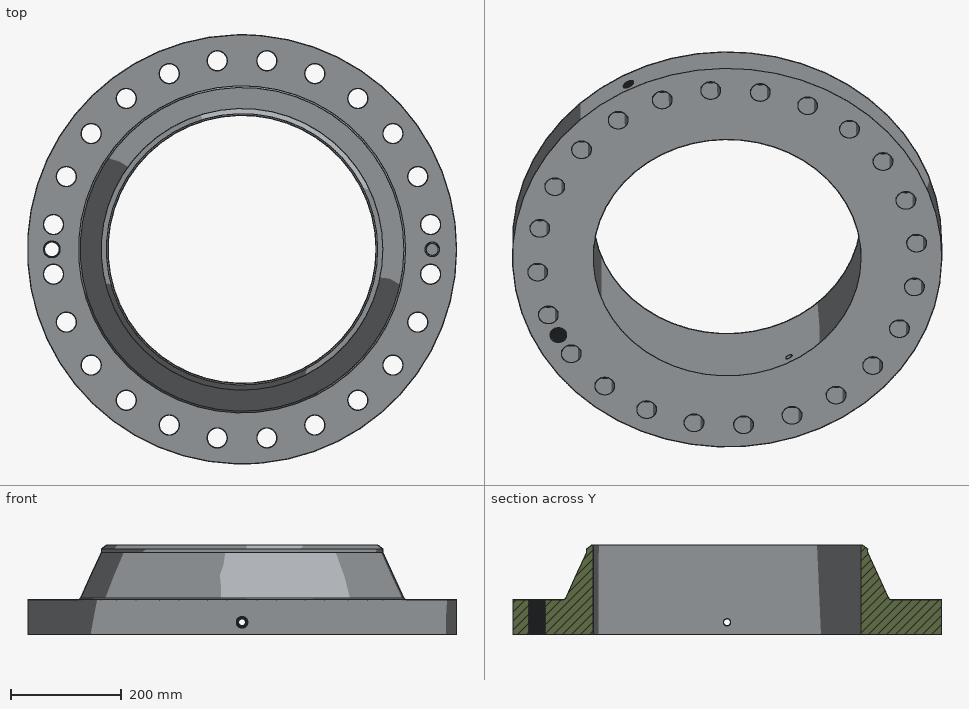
import cadquery as cq

flange_diameter = 775.0
flange_radius = flange_diameter / 2
flange_thickness = 63.5

overall_height = 162.0
bore_radius = 242.0
hub_base_radius = 295.0
hub_step_height = 2.0
hub_foot_radius = 292.0
hub_end_radius = 254.0
hub_end_height = 149.0
weld_bevel_start_height = 155.0
weld_land_radius = 245.0

bolt_circle_radius = 343.0
bolt_hole_diameter = 36.0
bolt_hole_count = 24
bolt_pitch_angle = 360 / bolt_hole_count

jack_thread_diameter = 30.0
jack_core_diameter = 26.0
jack_thread_pitch = 3.2
jack_turns = round(flange_thickness / jack_thread_pitch)

ring_outer_diameter = 26.0
ring_inner_diameter = 22.0
ring_depth = 1.0

tap_height = 22.5
tap_hole_diameter = 12.5
socket_thread_diameter = 21.0
socket_core_diameter = 18.0
socket_taper = 1 / 16
socket_pitch = 1.8
socket_turns = 12


def make_body():
    """Revolve the flange and hub profile about Z."""
    return (
        cq.Workplane("XZ")
        .moveTo(bore_radius, 0)
        .lineTo(flange_radius, 0)
        .lineTo(flange_radius, flange_thickness)
        .lineTo(hub_base_radius, flange_thickness)
        .lineTo(hub_foot_radius, flange_thickness + hub_step_height)
        .lineTo(hub_end_radius, hub_end_height)
        .lineTo(hub_end_radius, weld_bevel_start_height)
        .lineTo(weld_land_radius, overall_height)
        .lineTo(bore_radius, overall_height)
        .close()
        .revolve(360, (0, 0, 0), (0, 1, 0))
    )


def make_bolt_holes():
    return (
        cq.Workplane("XY")
        .polarArray(bolt_circle_radius, bolt_pitch_angle / 2, 360, bolt_hole_count)
        .circle(bolt_hole_diameter / 2)
        .extrude(flange_thickness)
    )


def make_threaded_plug(thread_diameter, core_diameter, pitch, turns, taper=0):
    """Solid of a threaded hole along +Z from the origin, with its turns as V-shaped rings."""
    points = [(0, 0)]
    for turn in range(turns):
        start = turn * pitch
        middle = start + pitch / 2
        points.append(((thread_diameter - taper * start) / 2, start))
        points.append(((core_diameter - taper * middle) / 2, middle))
    length = turns * pitch
    points.append(((thread_diameter - taper * length) / 2, length))
    points.append((0, length))
    return cq.Workplane("XZ").polyline(points).close().revolve(360, (0, 0, 0), (0, 1, 0))


def make_jack_hole():
    plug = make_threaded_plug(jack_thread_diameter, jack_core_diameter, jack_thread_pitch, jack_turns)
    return plug.translate((-bolt_circle_radius, 0, 0))


def make_ring_groove():
    return (
        cq.Workplane("XY", origin=(bolt_circle_radius, 0, flange_thickness))
        .circle(ring_outer_diameter / 2)
        .circle(ring_inner_diameter / 2)
        .extrude(-ring_depth)
    )


def make_tap_drilling():
    """One straight drilling across the whole flange serves both taps."""
    return (
        cq.Workplane("XZ", origin=(0, 0, tap_height))
        .circle(tap_hole_diameter / 2)
        .extrude(flange_radius, both=True)
    )


def make_tap_socket():
    """Threaded socket on the -Y side, running inward from the rim."""
    plug = make_threaded_plug(
        socket_thread_diameter, socket_core_diameter, socket_pitch, socket_turns, socket_taper
    )
    inward = plug.rotate((0, 0, 0), (1, 0, 0), -90)
    return inward.translate((0, -flange_radius, tap_height))


tap_socket = make_tap_socket()

result = (
    make_body()
    .cut(make_bolt_holes())
    .cut(make_jack_hole())
    .cut(make_ring_groove())
    .cut(make_tap_drilling())
    .cut(tap_socket)
    .cut(tap_socket.mirror("XZ"))
)